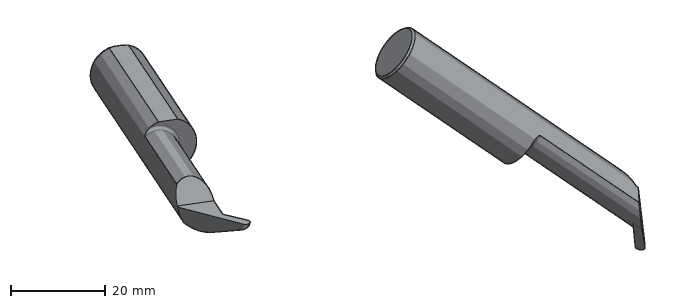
import cadquery as cq
import math

total_length = 75.5
shank_diameter = 12.7
shank_radius = shank_diameter / 2
shank_length = 36.0
flat_height = 12.3 - shank_radius
back_chamfer = 0.45

neck_radius = 4.4
neck_side = 1.8
neck_y = neck_side - neck_radius
neck_fillet = 0.75

rake_start = 63.1
tip_radius = 1.05
tip_x = total_length - tip_radius
tip_y = shank_radius - tip_radius
front_angle = math.radians(43.4)
back_angle = math.radians(45.7)
corner_radius = 0.6
underside_angle = math.radians(26.0)
tip_relief = math.radians(15.0)
margin = 3.8


def make_shank():
    """Round shank with a chamfered back end and a flat on top."""
    shank = cq.Workplane("YZ").circle(shank_radius).extrude(shank_length)
    shank = shank.faces("<X").chamfer(back_chamfer)
    block = cq.Workplane("XY").workplane(offset=flat_height)
    block = block.rect(2 * shank_length, 2 * shank_diameter).extrude(margin)
    return shank.cut(block)


def make_neck():
    """Offset neck flaring into the shank face, kept inside the shank cylinder."""
    flare_end = shank_length + neck_fillet
    arc_offset = neck_fillet * (1 - math.sqrt(0.5))
    neck = (
        cq.Workplane("XY")
        .moveTo(shank_length, neck_y)
        .lineTo(shank_length, neck_side + neck_fillet)
        .threePointArc((shank_length + arc_offset, neck_side + arc_offset), (flare_end, neck_side))
        .lineTo(total_length, neck_side)
        .lineTo(total_length, neck_y)
        .close()
        .revolve(360, (0, neck_y, 0), (1, neck_y, 0))
    )
    envelope = cq.Workplane("YZ").circle(shank_radius).extrude(total_length)
    return neck.intersect(envelope)


def make_ramp_cut():
    """Everything above the rake face and its 45 degree ramp."""
    return (
        cq.Workplane("XZ")
        .moveTo(rake_start, 0)
        .lineTo(rake_start - shank_radius, shank_radius)
        .lineTo(total_length + margin, shank_radius)
        .lineTo(total_length + margin, 0)
        .close()
        .extrude(shank_diameter, both=True)
    )


front_touch_x = tip_x + tip_radius * math.sin(front_angle)
front_touch_y = tip_y - tip_radius * math.cos(front_angle)
back_touch_x = tip_x - tip_radius * math.sin(back_angle)
back_touch_y = tip_y + tip_radius * math.cos(back_angle)


def front_wall_x(y):
    """X of the front wall at a given Y."""
    return front_touch_x - (front_touch_y - y) / math.tan(front_angle)


def back_wall_x(y):
    """X of the back wall of the tip bar at a given Y."""
    return back_touch_x - (back_touch_y - y) / math.tan(back_angle)


def make_front_cut():
    """Everything ahead of the front wall, with a rounded heel corner."""
    heel_y = -shank_radius
    heel_length = corner_radius * math.tan(front_angle / 2)
    heel_x = front_wall_x(heel_y)
    wall_x = heel_x + heel_length * math.cos(front_angle)
    wall_y = heel_y + heel_length * math.sin(front_angle)
    middle_x = heel_x - heel_length + corner_radius * math.sin(front_angle / 2)
    middle_y = heel_y + corner_radius * (1 - math.cos(front_angle / 2))
    end_x = total_length + margin
    end_y = front_touch_y + (end_x - front_touch_x) * math.tan(front_angle)
    return (
        cq.Workplane("XY")
        .moveTo(end_x, end_y)
        .lineTo(wall_x, wall_y)
        .threePointArc((middle_x, middle_y), (heel_x - heel_length, heel_y))
        .lineTo(heel_x - heel_length, heel_y - margin)
        .lineTo(end_x, heel_y - margin)
        .close()
        .extrude(shank_radius, both=True)
    )


def make_tip_bar():
    """Slanted bar with a round, relieved end and an underside tangent to the neck."""
    bar_wire = (
        cq.Workplane("XY")
        .moveTo(front_wall_x(neck_y), neck_y)
        .lineTo(front_touch_x, front_touch_y)
        .threePointArc(
            (tip_x + tip_radius * math.sqrt(0.5), tip_y + tip_radius * math.sqrt(0.5)),
            (back_touch_x, back_touch_y),
        )
        .lineTo(back_wall_x(neck_side), neck_side)
        .lineTo(back_wall_x(neck_y), neck_y)
        .close()
        .wire()
        .val()
    )
    lean = neck_radius * math.tan(tip_relief)
    lean_direction = cq.Vector(
        -lean * math.cos(front_angle), -lean * math.sin(front_angle), -neck_radius
    )
    bar = cq.Workplane(cq.Solid.extrudeLinear(bar_wire, [], lean_direction))

    touch_y = neck_y + neck_radius * math.sin(underside_angle)
    touch_z = -neck_radius * math.cos(underside_angle)
    end_y = shank_radius + tip_radius
    end_z = min(0, touch_z + (end_y - touch_y) * math.tan(underside_angle))
    section = (
        cq.Workplane("YZ")
        .moveTo(neck_y - neck_radius, 0)
        .threePointArc(
            (neck_y - neck_radius * math.sqrt(0.5), -neck_radius * math.sqrt(0.5)),
            (touch_y, touch_z),
        )
        .lineTo(end_y, end_z)
        .lineTo(end_y, 0)
        .close()
        .extrude(total_length)
    )
    return bar.intersect(section)


neck = make_neck().cut(make_ramp_cut()).cut(make_front_cut())
result = make_shank().union(neck).union(make_tip_bar())